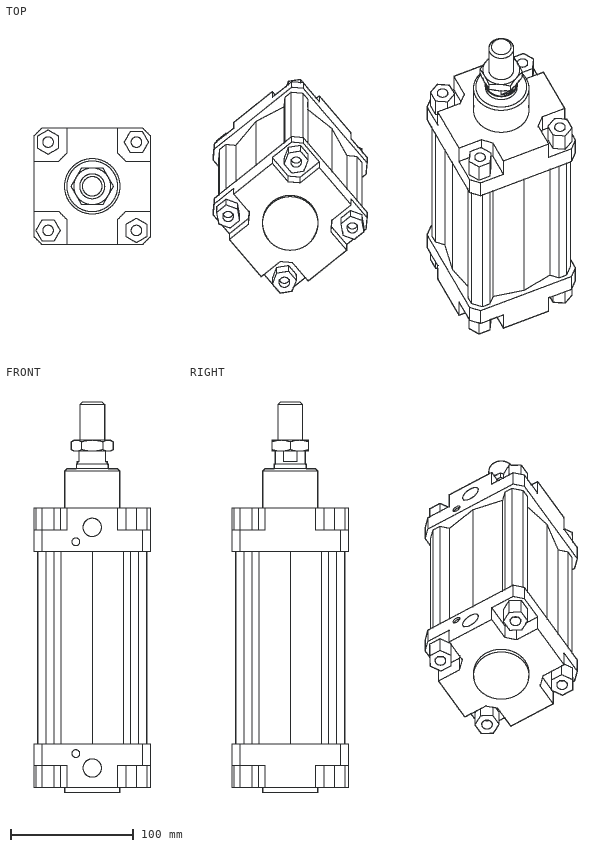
import cadquery as cq
import math

cap_width = 95.0
cap_height = 35.5
cap_corner_chamfer = 6.7
lower_boss_height = 4.0
upper_boss_height = 31.8
boss_diameter = 45.0
boss_chamfer = 2.0
caps_span = 227.7

pocket_edge = 20.5
pocket_corner_chamfer = 7.0
pocket_depth = 18.0

tie_nut_offset = 36.0
tie_nut_flats = 17.2
tie_nut_bore = 8.5
tie_nut_bore_depth = 12.7
drill_point_angle = 118.0

port_diameter = 15.0
port_depth = 19.0
port_inset = 16.0
screw_diameter = 6.5
screw_recess_depth = 1.5
screw_inset = 27.7
screw_offset = -13.5

barrel_half_width = 44.5
lobe_outer = 38.0
lobe_inner = 31.2
lobe_step = 5.7
side_ridge = 44.0

collar_diameter = 26.0
collar_height = 3.8
neck_diameter = 24.5
neck_flats = 22.0
neck_flat_step = 2.0
thread_diameter = 20.5
thread_chamfer = 2.2
total_height = 318.0

nut_flats = 30.0
nut_height = 9.0
nut_top_gap = 31.2
nut_chamfer_diameter = nut_flats
nut_chamfer_angle = 30.0

lower_cap_face = lower_boss_height
upper_cap_face = lower_cap_face + caps_span
middle = (lower_cap_face + upper_cap_face) / 2
boss_top = upper_cap_face + upper_boss_height
collar_top = boss_top + collar_height
nut_top = total_height - nut_top_gap
nut_bottom = nut_top - nut_height


def hexagon_diameter(across_flats):
    """Corner-to-corner diameter of a hexagon."""
    return across_flats / math.cos(math.radians(30))


def cylinder(diameter, bottom, top):
    """Round bar on the Z axis between two levels."""
    return cq.Workplane("XY").workplane(offset=bottom).circle(diameter / 2).extrude(top - bottom)


def corner_pocket():
    """Chamfered square pocket over the +X +Y corner of the upper cap."""
    outside = cap_width
    return (
        cq.Workplane("XY")
        .workplane(offset=upper_cap_face - pocket_depth)
        .moveTo(pocket_edge + pocket_corner_chamfer, pocket_edge)
        .lineTo(outside, pocket_edge)
        .lineTo(outside, outside)
        .lineTo(pocket_edge, outside)
        .lineTo(pocket_edge, pocket_edge + pocket_corner_chamfer)
        .close()
        .extrude(pocket_depth)
    )


def tie_nut():
    """Hexagonal tie-rod nut in the +X +Y corner, flush with the cap, with a drilled blind bore."""
    bore_radius = tie_nut_bore / 2
    point_height = bore_radius / math.tan(math.radians(drill_point_angle / 2))
    bore_bottom = upper_cap_face - tie_nut_bore_depth
    bore = (
        cq.Workplane("XZ")
        .moveTo(0, upper_cap_face)
        .lineTo(bore_radius, upper_cap_face)
        .lineTo(bore_radius, bore_bottom)
        .lineTo(0, bore_bottom - point_height)
        .close()
        .revolve(360, (0, 0), (0, 1))
    )
    return (
        cq.Workplane("XY")
        .workplane(offset=upper_cap_face - pocket_depth)
        .polygon(6, hexagon_diameter(tie_nut_flats))
        .extrude(pocket_depth)
        .cut(bore)
        .translate((tie_nut_offset, tie_nut_offset, 0))
    )


def front_hole(diameter, depth, x, z):
    """Round hole cut into the -Y face of a cap."""
    return (
        cq.Workplane("XZ", origin=(x, -cap_width / 2, z))
        .circle(diameter / 2)
        .extrude(-depth)
    )


def upper_cap():
    """End cap with four corner pockets, tie-rod nuts, the port and the screw recess."""
    cap = (
        cq.Workplane("XY")
        .workplane(offset=upper_cap_face - cap_height)
        .rect(cap_width, cap_width)
        .extrude(cap_height)
        .edges("|Z")
        .chamfer(cap_corner_chamfer)
    )
    for corner in range(4):
        angle = 90 * corner
        cap = cap.cut(corner_pocket().rotate((0, 0, 0), (0, 0, 1), angle))
        cap = cap.union(tie_nut().rotate((0, 0, 0), (0, 0, 1), angle))
    cap = cap.cut(front_hole(port_diameter, port_depth, 0, upper_cap_face - port_inset))
    screw_level = upper_cap_face - screw_inset
    return cap.cut(front_hole(screw_diameter, screw_recess_depth, screw_offset, screw_level))


def barrel():
    """Profile tube: ridged sides between four chamfered corner lobes."""
    quarter = [
        (side_ridge, 0),
        (barrel_half_width - lobe_step, lobe_inner - lobe_step),
        (barrel_half_width, lobe_inner),
        (barrel_half_width, lobe_outer),
        (lobe_outer, barrel_half_width),
        (lobe_inner, barrel_half_width),
        (lobe_inner - lobe_step, barrel_half_width - lobe_step),
    ]
    outline = []
    for _ in range(4):
        outline += quarter
        quarter = [(-y, x) for x, y in quarter]
    bottom = lower_cap_face + cap_height
    length = caps_span - 2 * cap_height
    return cq.Workplane("XY").workplane(offset=bottom).polyline(outline).close().extrude(length)


def make_housing():
    """Barrel between two mirrored caps, with a boss on each end."""
    cap = upper_cap()
    upper_boss = cylinder(boss_diameter, upper_cap_face, boss_top).faces(">Z").chamfer(boss_chamfer)
    lower_boss = cylinder(boss_diameter, 0, lower_cap_face)
    return (
        barrel()
        .union(cap)
        .union(cap.mirror("XY", (0, 0, middle)))
        .union(upper_boss)
        .union(lower_boss)
    )


def make_rod():
    """Collar, neck with two wrench flats, and the thread that carries the lock nut."""
    flats_bottom = collar_top + neck_flat_step
    flats_height = nut_bottom - flats_bottom
    flats_slab = (
        cq.Workplane("XY")
        .workplane(offset=flats_bottom)
        .rect(neck_flats, collar_diameter)
        .extrude(flats_height)
    )
    neck = cylinder(neck_diameter, collar_top, nut_bottom)
    flats_waste = cylinder(collar_diameter, flats_bottom, nut_bottom).cut(flats_slab)
    thread = cylinder(thread_diameter, nut_bottom, total_height).faces(">Z").chamfer(thread_chamfer)
    return cylinder(collar_diameter, boss_top, collar_top).union(neck).cut(flats_waste).union(thread)


def make_lock_nut():
    """Hexagon nut with both ends of its corners chamfered by a cone."""
    corner_radius = hexagon_diameter(nut_flats) / 2
    face_radius = nut_chamfer_diameter / 2
    drop = (corner_radius - face_radius) * math.tan(math.radians(nut_chamfer_angle))
    turned_blank = (
        cq.Workplane("XZ")
        .moveTo(0, nut_bottom)
        .lineTo(face_radius, nut_bottom)
        .lineTo(corner_radius, nut_bottom + drop)
        .lineTo(corner_radius, nut_top - drop)
        .lineTo(face_radius, nut_top)
        .lineTo(0, nut_top)
        .close()
        .revolve(360, (0, 0), (0, 1))
    )
    return (
        cq.Workplane("XY")
        .workplane(offset=nut_bottom)
        .polygon(6, 2 * corner_radius)
        .extrude(nut_height)
        .intersect(turned_blank)
        .cut(cylinder(thread_diameter, nut_bottom, nut_top))
    )


housing = make_housing()
rod = make_rod()
lock_nut = make_lock_nut()

result = cq.Compound.makeCompound([housing.val(), rod.val(), lock_nut.val()])